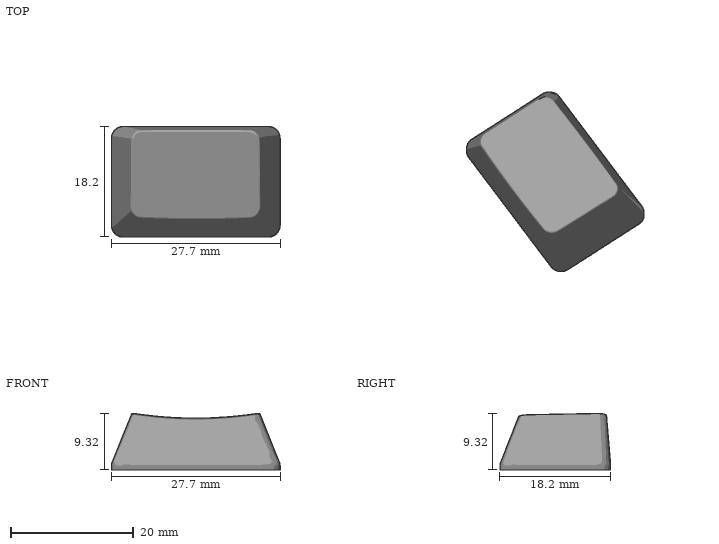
import cadquery as cq
import math

length = 27.7
width = 18.16
corner_radius = 2.0
top_corner_radius = 1.77

skirt_height = 0.72
bend_top = 1.27
bend_middle = (skirt_height + bend_top) / 2

blank_height = 10.52
side_lean = 22.0
front_lean = 21.5
back_lean = 4.8

dish_radius = 66.45
dish_bottom_height = 8.4
dish_tilt = 1.1
rim_radius = 0.33


def wall_inset(lean, height):
    """Distance a leaning wall has moved inwards at a height above the bend."""
    return (height - bend_middle) * math.tan(math.radians(lean))


def section(height):
    """Rounded rectangular outline of the body at a height from the skirt top upwards."""
    wall_height = height
    if height < bend_top:
        bend_share = (height - skirt_height) / (bend_top - skirt_height)
        wall_height = bend_middle + (bend_top - bend_middle) * bend_share**2
    side = wall_inset(side_lean, wall_height)
    front = wall_inset(front_lean, wall_height)
    back = wall_inset(back_lean, wall_height)
    rise_share = (wall_height - bend_middle) / (blank_height - bend_middle)
    radius = corner_radius + (top_corner_radius - corner_radius) * rise_share
    outline = cq.Sketch().rect(length - 2 * side, width - front - back).vertices().fillet(radius)
    return outline.moved(cq.Location(cq.Vector(0, (front - back) / 2, height)))


def make_blank():
    """Straight skirt, curved bend and leaning walls, stacked."""
    skirt = cq.Workplane("XY").placeSketch(section(skirt_height)).extrude(-skirt_height)
    bend_sections = [section(skirt_height), section(bend_middle), section(bend_top)]
    bend = cq.Workplane("XY").placeSketch(*bend_sections).loft()
    walls = cq.Workplane("XY").placeSketch(section(bend_top), section(blank_height)).loft(ruled=True)
    return skirt.union(bend).union(walls)


def make_dish():
    """Long cylinder lying front to back that hollows the top."""
    dish = cq.Workplane("XZ").circle(dish_radius).extrude(2 * width)
    dish = dish.translate((0, width, dish_radius + dish_bottom_height))
    pivot = (0, 0, dish_bottom_height)
    return dish.rotate(pivot, (1, 0, dish_bottom_height), dish_tilt)


dished = make_blank().cut(make_dish())
dish_face = dished.faces(cq.selectors.NearestToPointSelector((0, 0, dish_bottom_height)))
result = dish_face.edges().fillet(rim_radius)